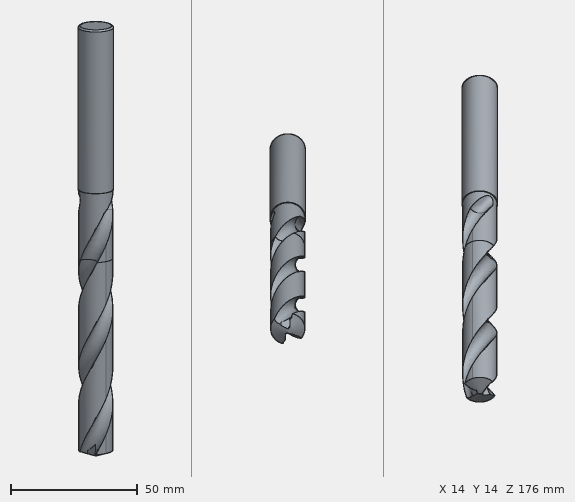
import cadquery as cq
import math

total_length = 176.0
shank_diameter = 14.0
shank_chamfer = 0.7
neck_top = 109.1
joint_height = 81.0

drill_diameter = 13.5
drill_radius = drill_diameter / 2
point_angle = 140.0
point_height = drill_radius / math.tan(math.radians(point_angle / 2))

flute_count = 2
flute_pitch = 77.5
flute_top = 100.7
flute_on_x_height = 17.6
flute_offset = 7.0
flute_radius = 4.0
runout_height = 14.0
runout_sideways_slope = 0.9
runout_outward_slope = 0.25

gash_tip_x = 1.5
gash_tip_y = -0.7
gash_tip_z = 2.1
gash_travel = (2.1, -3.0, 7.7)
gash_left_width = 4.2
gash_left_drop = 7.4
gash_right_width = 0.5
gash_depth = 10.5


def flute_angle(height):
    """Direction of the first flute, in degrees from +X, at a given height."""
    return 360 * (height - flute_on_x_height) / flute_pitch


def flute_section(height, turn):
    """Circular flute profile in the level plane at a given height."""
    angle = math.radians(flute_angle(height) + turn)
    return (
        cq.Workplane("XY", origin=(0, 0, height))
        .center(flute_offset * math.cos(angle), flute_offset * math.sin(angle))
        .circle(flute_radius)
    )


def helical_flute(turn):
    """Twisted part of a flute, from the point up to the runout."""
    angle = flute_angle(0) + turn
    return (
        cq.Workplane("XY")
        .moveTo(flute_offset, 0)
        .circle(flute_radius)
        .twistExtrude(flute_top, flute_angle(flute_top) - flute_angle(0))
        .rotate((0, 0, 0), (0, 0, 1), angle)
    )


def flute_runout(turn):
    """Straight end of a flute, rising out of the drill along a sloping line."""
    angle = math.radians(flute_angle(flute_top) + turn)
    sideways = runout_sideways_slope * runout_height
    outward = runout_outward_slope * runout_height
    travel = cq.Vector(
        outward * math.cos(angle) - sideways * math.sin(angle),
        outward * math.sin(angle) + sideways * math.cos(angle),
        runout_height,
    )
    profile = flute_section(flute_top, turn).wires().val()
    return cq.Workplane(cq.Solid.extrudeLinear(profile, [], travel))


def web_gash(turn):
    """Sloping triangular notch from the web at the point up into a flute."""
    profile = (
        cq.Workplane("XZ", origin=(gash_tip_x, gash_tip_y, gash_tip_z))
        .moveTo(0, 0)
        .lineTo(-gash_left_width, -gash_left_drop)
        .lineTo(-gash_left_width, -gash_depth)
        .lineTo(gash_right_width, -gash_depth)
        .close()
        .wires()
        .val()
    )
    gash = cq.Solid.extrudeLinear(profile, [], cq.Vector(*gash_travel))
    return cq.Workplane(gash).rotate((0, 0, 0), (0, 0, 1), turn)


def make_cutting_head():
    """Pointed lower body, up to the joint."""
    head = (
        cq.Workplane("XZ")
        .moveTo(0, 0)
        .lineTo(drill_radius, point_height)
        .lineTo(drill_radius, joint_height)
        .lineTo(0, joint_height)
        .close()
        .revolve(360, (0, 0, 0), (0, 1, 0))
    )
    for index in range(flute_count):
        turn = index * 360 / flute_count
        head = head.cut(helical_flute(turn)).cut(web_gash(turn))
    return head


def make_shank():
    """Fluted neck and the plain chamfered shank above it."""
    neck = (
        cq.Workplane("XY", origin=(0, 0, joint_height))
        .circle(drill_radius)
        .extrude(neck_top - joint_height)
    )
    for index in range(flute_count):
        turn = index * 360 / flute_count
        neck = neck.cut(helical_flute(turn)).cut(flute_runout(turn))
    grip = (
        cq.Workplane("XY", origin=(0, 0, neck_top))
        .circle(shank_diameter / 2)
        .extrude(total_length - neck_top)
        .faces(">Z")
        .chamfer(shank_chamfer)
    )
    return neck.union(grip)


cutting_head = make_cutting_head()
shank = make_shank()

result = cq.Compound.makeCompound([cutting_head.val(), shank.val()])